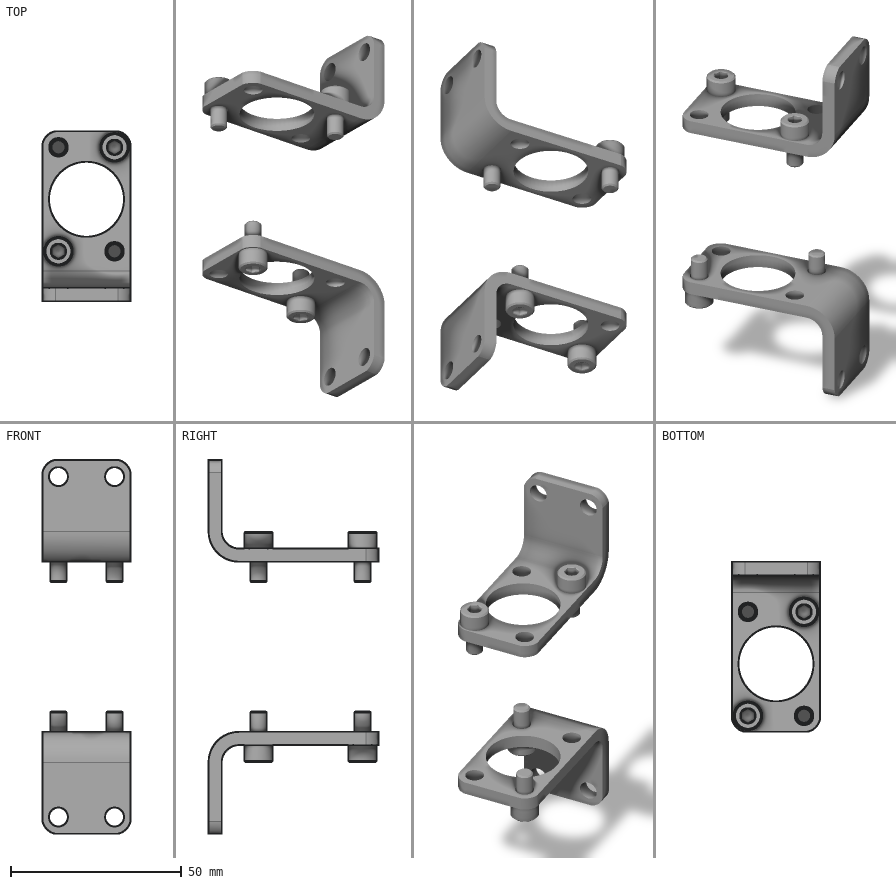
import cadquery as cq
import math

TOTAL_HEIGHT = 110.0

WIDTH = 26.0
DEPTH = 50.0
FLANGE_HEIGHT = 30.0
THICKNESS = 4.0
BEND_OUTER_RADIUS = 9.0
BEND_INNER_RADIUS = BEND_OUTER_RADIUS - THICKNESS
CORNER_RADIUS = 4.8
CORNER_CUT = 3.7
BORE_DIAMETER = 22.0
BORE_EDGE_DISTANCE = 20.0
SCREW_HOLE_DIAMETER = 5.5
HOLE_EDGE_DISTANCE = 4.7
FLANGE_HOLE_EDGE_DISTANCE = 5.0

SHANK_DIAMETER = 5.0
SHANK_LENGTH = 10.0
SHANK_CHAMFER = 0.4
HEAD_DIAMETER = 8.5
HEAD_HEIGHT = 5.0
HEAD_CHAMFER = 0.4
SOCKET_ACROSS_FLATS = 4.0
SOCKET_DEPTH = 2.5
SOCKET_CONE_ANGLE = 120.0

FAR_EDGE_Y = BORE_EDGE_DISTANCE
FLANGE_FACE_Y = FAR_EDGE_Y - DEPTH
HOLE_X = WIDTH / 2 - HOLE_EDGE_DISTANCE
HOLE_Y = BORE_EDGE_DISTANCE - HOLE_EDGE_DISTANCE
PLATE_BOTTOM_Z = TOTAL_HEIGHT / 2 - FLANGE_HEIGHT
PLATE_TOP_Z = PLATE_BOTTOM_Z + THICKNESS
FLANGE_TOP_Z = TOTAL_HEIGHT / 2
FLANGE_HOLE_Z = FLANGE_TOP_Z - FLANGE_HOLE_EDGE_DISTANCE


def bent_strip():
    """L-shaped strip of constant thickness with square free corners."""
    strip = (
        cq.Workplane("YZ")
        .moveTo(FAR_EDGE_Y, PLATE_BOTTOM_Z)
        .lineTo(FLANGE_FACE_Y, PLATE_BOTTOM_Z)
        .lineTo(FLANGE_FACE_Y, FLANGE_TOP_Z)
        .lineTo(FLANGE_FACE_Y + THICKNESS, FLANGE_TOP_Z)
        .lineTo(FLANGE_FACE_Y + THICKNESS, PLATE_TOP_Z)
        .lineTo(FAR_EDGE_Y, PLATE_TOP_Z)
        .close()
        .extrude(WIDTH / 2, both=True)
    )
    strip = strip.faces("<Y").edges("<Z").fillet(BEND_OUTER_RADIUS)
    inner_corner = cq.selectors.NearestToPointSelector((0, FLANGE_FACE_Y + THICKNESS, PLATE_TOP_Z))
    return strip.edges("|X").edges(inner_corner).fillet(BEND_INNER_RADIUS)


def rounded_end(plane, start, end):
    """Full-width outline between two offsets in a plane, with both corners at its end rounded.

    Each corner arc meets the edges at a slight angle, CORNER_CUT away from the square corner.
    """
    half_width = WIDTH / 2
    half_chord = CORNER_CUT / math.sqrt(2)
    sagitta = CORNER_RADIUS - math.sqrt(CORNER_RADIUS**2 - half_chord**2)
    mid_inset = CORNER_CUT / 2 - sagitta / math.sqrt(2)
    return (
        plane.moveTo(-half_width, start)
        .lineTo(half_width, start)
        .lineTo(half_width, end - CORNER_CUT)
        .threePointArc((half_width - mid_inset, end - mid_inset), (half_width - CORNER_CUT, end))
        .lineTo(-half_width + CORNER_CUT, end)
        .threePointArc((-half_width + mid_inset, end - mid_inset), (-half_width, end - CORNER_CUT))
        .close()
    )


def round_free_corners(strip):
    """Round the two corners at the end of the plate and the two at the top of the flange."""
    plate_outline = rounded_end(
        cq.Workplane("XY", origin=(0, 0, PLATE_BOTTOM_Z)), FLANGE_FACE_Y, FAR_EDGE_Y
    ).extrude(FLANGE_HEIGHT)
    flange_outline = rounded_end(
        cq.Workplane("XZ", origin=(0, FLANGE_FACE_Y, 0)), PLATE_BOTTOM_Z, FLANGE_TOP_Z
    ).extrude(-DEPTH)
    return strip.intersect(plate_outline).intersect(flange_outline)


def make_bracket():
    """Upper bracket: horizontal plate with a flange rising at its -Y end."""
    plate_plane = cq.Workplane("XY", origin=(0, 0, PLATE_BOTTOM_Z))
    bore = plate_plane.circle(BORE_DIAMETER / 2).extrude(THICKNESS)
    plate_holes = (
        plate_plane.rect(2 * HOLE_X, 2 * HOLE_Y, forConstruction=True)
        .vertices()
        .circle(SCREW_HOLE_DIAMETER / 2)
        .extrude(THICKNESS)
    )
    flange_holes = (
        cq.Workplane("XZ", origin=(0, FLANGE_FACE_Y, FLANGE_HOLE_Z))
        .pushPoints([(-HOLE_X, 0), (HOLE_X, 0)])
        .circle(SCREW_HOLE_DIAMETER / 2)
        .extrude(-THICKNESS)
    )
    return round_free_corners(bent_strip()).cut(bore).cut(plate_holes).cut(flange_holes)


def make_screw():
    """Socket head screw along Z with the underside of its head at the origin."""
    head = (
        cq.Workplane("XY")
        .circle(HEAD_DIAMETER / 2)
        .extrude(HEAD_HEIGHT)
        .faces(">Z")
        .chamfer(HEAD_CHAMFER)
    )
    shank = (
        cq.Workplane("XY")
        .circle(SHANK_DIAMETER / 2)
        .extrude(-SHANK_LENGTH)
        .faces("<Z")
        .chamfer(SHANK_CHAMFER)
    )
    return head.union(shank).cut(hex_socket())


def hex_socket():
    """Hexagonal socket with two corners along Y, a conical floor and a countersunk mouth."""
    floor_z = HEAD_HEIGHT - SOCKET_DEPTH
    across_corners = SOCKET_ACROSS_FLATS / math.cos(math.pi / 6)
    tip_depth = across_corners / 2 / math.tan(math.radians(SOCKET_CONE_ANGLE / 2))
    hexagon = (
        cq.Workplane("XY", origin=(0, 0, floor_z - tip_depth))
        .transformed(rotate=(0, 0, 90))
        .polygon(6, across_corners)
        .extrude(SOCKET_DEPTH + tip_depth)
    )
    pointed_drill = (
        cq.Workplane("XZ")
        .moveTo(0, floor_z - tip_depth)
        .lineTo(across_corners / 2, floor_z)
        .lineTo(across_corners / 2, HEAD_HEIGHT)
        .lineTo(0, HEAD_HEIGHT)
        .close()
        .revolve(360, (0, 0, 0), (0, 1, 0))
    )
    countersink = cq.Workplane(
        cq.Solid.makeCone(
            across_corners / 2, 0, tip_depth, pnt=(0, 0, HEAD_HEIGHT), dir=(0, 0, -1)
        )
    )
    return hexagon.intersect(pointed_drill).union(countersink)


def turned_over(body):
    """Copy of an upper body turned half a revolution about the Y axis."""
    return body.rotate((0, 0, 0), (0, 1, 0), 180)


upper_bracket = make_bracket()
lower_bracket = turned_over(upper_bracket)

upper_screws = []
lower_screws = []
for side in (-1, 1):
    screw = make_screw().translate((side * HOLE_X, side * HOLE_Y, PLATE_TOP_Z))
    upper_screws.append(screw.val())
    lower_screws.append(turned_over(screw).val())

result = cq.Compound.makeCompound(
    [upper_bracket.val(), lower_bracket.val(), *upper_screws, *lower_screws]
)